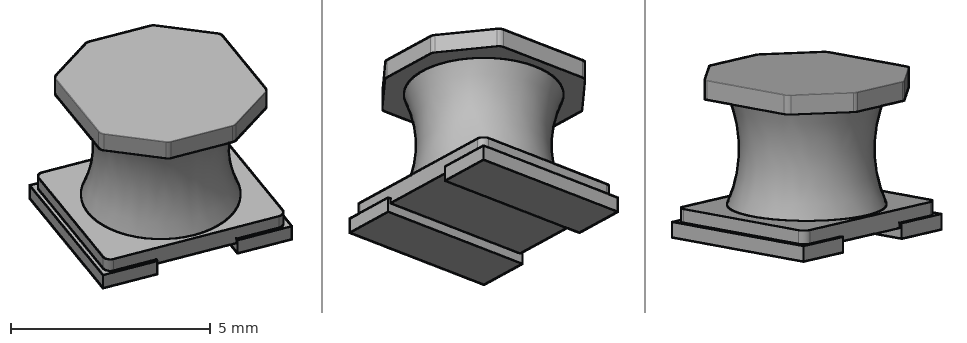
import cadquery as cq

total_height = 4.1

terminal_width = 4.4
terminal_length = 1.5
terminal_height = 0.4
terminal_span = 5.2

base_width = 4.25
base_length = 4.95
base_bottom = 0.265
base_top = 0.75
corner_radius = 0.2

cap_width = 4.91
cap_length = 4.6
cap_thickness = 0.5
cap_end_flat = 2.765
cap_side_flat = 1.82
cap_rim_radius = 0.01
cap_bottom = total_height - cap_thickness

core_end_diameter = 4.0
core_waist_diameter = 3.4


def make_terminal(side):
    """Rectangular contact pad at one Y end; side is -1 or 1."""
    center_y = side * (terminal_span - terminal_length) / 2
    return (
        cq.Workplane("XY")
        .center(0, center_y)
        .rect(terminal_width, terminal_length)
        .extrude(terminal_height)
    )


def make_base(terminals):
    """Rounded plate, notched underneath to seat the terminals."""
    base = (
        cq.Workplane("XY")
        .workplane(offset=base_bottom)
        .rect(base_width, base_length)
        .extrude(base_top - base_bottom)
        .edges("|Z")
        .fillet(corner_radius)
    )
    for terminal in terminals:
        base = base.cut(terminal)
    return base


def make_core():
    """Round core with concave sides, narrowest halfway up."""
    end_radius = core_end_diameter / 2
    waist_radius = core_waist_diameter / 2
    waist_height = (base_top + cap_bottom) / 2
    return (
        cq.Workplane("XZ")
        .moveTo(0, base_top)
        .lineTo(end_radius, base_top)
        .threePointArc((waist_radius, waist_height), (end_radius, cap_bottom))
        .lineTo(0, cap_bottom)
        .close()
        .revolve(360, (0, 0, 0), (0, 1, 0))
    )


def make_cap():
    """Octagonal flange with rounded corners and a softened top rim."""
    half_width = cap_width / 2
    half_length = cap_length / 2
    end_x = cap_end_flat / 2
    side_y = cap_side_flat / 2
    outline = [
        (half_width, -side_y),
        (half_width, side_y),
        (end_x, half_length),
        (-end_x, half_length),
        (-half_width, side_y),
        (-half_width, -side_y),
        (-end_x, -half_length),
        (end_x, -half_length),
    ]
    return (
        cq.Workplane("XY")
        .workplane(offset=cap_bottom)
        .polyline(outline)
        .close()
        .extrude(cap_thickness)
        .edges("|Z")
        .fillet(corner_radius)
        .faces(">Z")
        .edges()
        .fillet(cap_rim_radius)
    )


terminals = [make_terminal(side) for side in (-1, 1)]
base = make_base(terminals)
core = make_core()
cap = make_cap()

result = cq.Compound.makeCompound(
    [base.val(), core.val(), cap.val(), *[terminal.val() for terminal in terminals]]
)